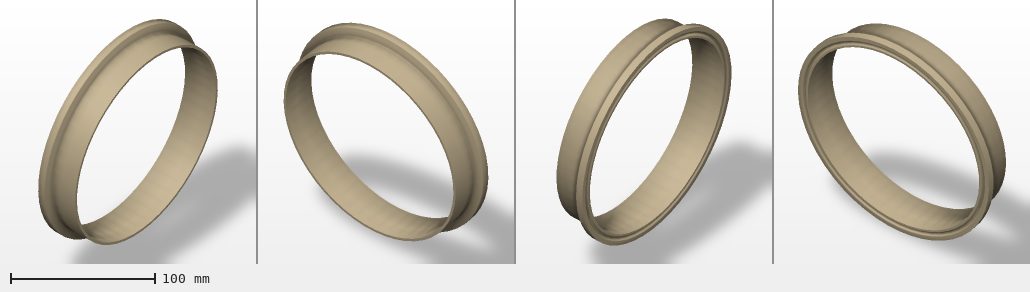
import cadquery as cq
import math

length = 28.0
bore_radius = 75.0
wall = 2.0
tube_radius = bore_radius + wall

flange_radius = 83.5
back_angle = math.radians(20.0)
back_root_x = 8.0
rim_width = back_root_x - (flange_radius - tube_radius) * math.tan(back_angle)
rim_fillet = 0.6
root_fillet = 1.8

groove_radius = 78.35
floor_radius = 1.2
lip_radius = 1.0
wall_angle = math.radians(70.0)
floor_half_width = floor_radius * math.sin(wall_angle)
lip_width = lip_radius * math.sin(wall_angle)
groove_half_width = floor_half_width + lip_width
lip_depth = lip_radius * (1 - math.cos(wall_angle))
groove_depth = lip_depth + floor_radius * (1 - math.cos(wall_angle))


def unit_vector(start, end):
    distance = math.dist(start, end)
    return ((end[0] - start[0]) / distance, (end[1] - start[1]) / distance)


def corner_arc(before, corner, after, radius):
    """Start, middle and end of the arc that rounds a corner of the profile."""
    back = unit_vector(corner, before)
    ahead = unit_vector(corner, after)
    half_angle = math.acos(back[0] * ahead[0] + back[1] * ahead[1]) / 2
    tangent_length = radius / math.tan(half_angle)
    middle_distance = radius / math.sin(half_angle) - radius
    inward = unit_vector((0, 0), (back[0] + ahead[0], back[1] + ahead[1]))

    def offset(direction, distance):
        return (corner[0] + direction[0] * distance, corner[1] + direction[1] * distance)

    return offset(back, tangent_length), offset(inward, middle_distance), offset(ahead, tangent_length)


def ferrule_body():
    """Tube and flange in one turn about X, with the flange back rounded at rim and root."""
    rim_front = (0, flange_radius)
    rim_back = (rim_width, flange_radius)
    back_root = (back_root_x, tube_radius)
    tube_end = (length, tube_radius)
    rim_start, rim_middle, rim_end = corner_arc(rim_front, rim_back, back_root, rim_fillet)
    root_start, root_middle, root_end = corner_arc(rim_back, back_root, tube_end, root_fillet)
    profile = (
        cq.Workplane("XZ")
        .moveTo(0, bore_radius)
        .lineTo(*rim_front)
        .lineTo(*rim_start)
        .threePointArc(rim_middle, rim_end)
        .lineTo(*root_start)
        .threePointArc(root_middle, root_end)
        .lineTo(*tube_end)
        .lineTo(length, bore_radius)
        .close()
    )
    return profile.revolve(360, (0, 0, 0), (1, 0, 0))


def lip_middle(side):
    """Point halfway along a lip; side is -1 for the inner lip and 1 for the outer."""
    half_angle = wall_angle / 2
    depth = lip_radius * (1 - math.cos(half_angle))
    return (depth, groove_radius + side * (groove_half_width - lip_radius * math.sin(half_angle)))


def gasket_groove():
    """Ring of material removed from the sealing face."""
    inner_floor_end = (lip_depth, groove_radius - floor_half_width)
    outer_floor_end = (lip_depth, groove_radius + floor_half_width)
    profile = (
        cq.Workplane("XZ")
        .moveTo(0, groove_radius - groove_half_width)
        .threePointArc(lip_middle(-1), inner_floor_end)
        .threePointArc((groove_depth, groove_radius), outer_floor_end)
        .threePointArc(lip_middle(1), (0, groove_radius + groove_half_width))
        .close()
    )
    return profile.revolve(360, (0, 0, 0), (1, 0, 0))


result = ferrule_body().cut(gasket_groove())